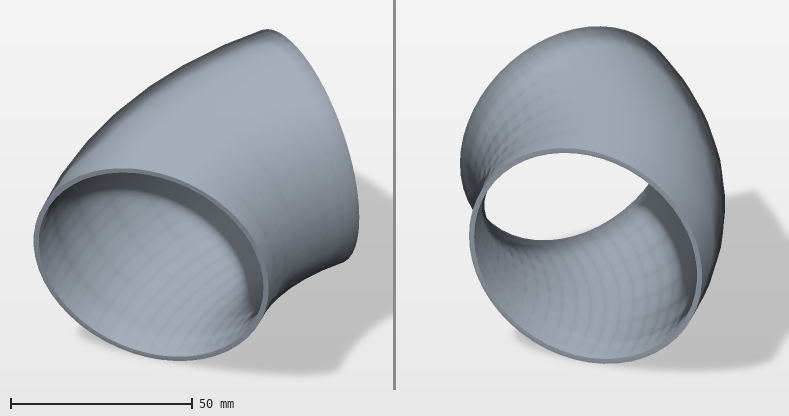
import cadquery as cq
import math

bend_angle = 45.0
reach = 84.15
outer_diameter = 68.0
wall = 1.5

outer_radius = outer_diameter / 2
inner_radius = outer_radius - wall
outer_bend_radius = reach / math.sin(math.radians(bend_angle))
bend_radius = outer_bend_radius - outer_radius


def make_elbow():
    """Ring in the XZ plane, swept about a vertical axis on its +X side."""
    ring = cq.Workplane("XZ").circle(outer_radius).circle(inner_radius)
    axis_start = (bend_radius, 0)
    axis_end = (bend_radius, -1)
    return ring.revolve(bend_angle, axis_start, axis_end)


result = make_elbow()